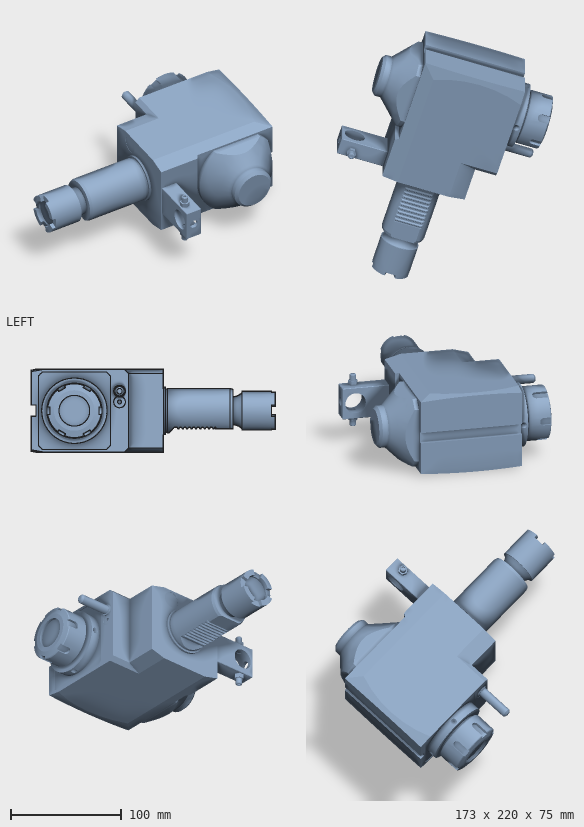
import cadquery as cq
import math


HEIGHT = 75.0
HALF_HEIGHT = HEIGHT / 2
OVERALL_LENGTH = 220.0
HOUSING_BACK = 119.0
UPPER_LEFT = -58.5
UPPER_RIGHT = 35.6
UPPER_FRONT = 31.2
UPPER_CHAMFER = 4.0
LOWER_HALF_WIDTH = 39.0
SHOULDER_BACK = 39.8
SHOULDER_BEVEL = 2.0
SHOULDER_BEVEL_RUN = 3.0
SIDE_SLOPE = math.tan(math.radians(15))
SIDE_SLOPE_START = 24.2
CROWN_X = -17.0
CROWN_RADIUS = 114.2
CROWN_REACH = 44.0
CROWN_SLOPE = math.tan(math.radians(11))
KEYWAY_WIDTH = 10.0
KEYWAY_DEPTH = 4.2
PLUG_X, PLUG_Z, PLUG_RADIUS = -15.8, 27.7, 7.7
MARK_DEPTH = 0.2

SPINDLE_Y = 80.0
PANEL_FRONT, PANEL_BACK = 47.5, 112.6
PANEL_HALF_HEIGHT = 34.8
PANEL_CORNER = 3.5
PANEL_DEPTH = 0.7
RING_RADIUS = 29.5
RING_LENGTH = 8.1
RING_HOLE_COUNT = 4
RING_HOLE_RADIUS = 2.9
RING_HOLE_DEPTH = 3.3
NECK_RADIUS = 21.1
NECK_LENGTH = 2.0
NUT_RADIUS = 24.9
NUT_BACK_CHAMFER = 0.9
NUT_FRONT_CHAMFER = 0.7
NUT_FACE_X = -91.0
NUT_FACE_RADIUS = 18.3
NUT_FACE_DROP = 1.5
NUT_BORE_RADIUS = 13.9
NUT_BORE_DEPTH = 2.6
NUT_SLOT_COUNT = 6
NUT_SLOT_WIDTH = 7.0
NUT_SLOT_LENGTH = 12.0
NUT_LONG_SLOT_LENGTH = 16.3
NUT_LONG_SLOTS = (1, 2)
NUT_SLOT_FLOOR = 22.0

PIN_Y, PIN_Z = 39.4, 17.5
PIN_RADIUS = 4.2
PIN_TIP_X = -90.9
PIN_TIP_CHAMFER = 1.8
PIN_COLLAR_RADIUS = 5.3
PIN_COLLAR_LENGTH = 1.3
PORT_Z = 8.0
PORT_RADIUS = 5.3
PORT_HOLE_RADIUS = 1.8
PORT_HOLE_DEPTH = 3.3

COVER_RADIUS = 40.0
COVER_RIM_X = 39.5
COVER_FLAT_Y = 111.5
COVER_RIM_HEIGHT = 32.5
HUB_RADIUS = 19.1
HUB_END_X = 68.6
HUB_CHAMFER = 2.6

COLLAR_RADIUS = 21.5
COLLAR_LENGTH = 2.0
RELIEF_RADIUS = 19.5
RELIEF_END = 4.0
SHANK_DIAMETER = 40.3
SHANK_RADIUS = SHANK_DIAMETER / 2
SHANK_END = 63.0
SHANK_CHAMFER_LENGTH = 2.6
SHANK_CHAMFER_DEPTH = 0.9
WAIST_RADIUS = 12.8
DRIVE_START = 70.8
WAIST_END_RADIUS = 16.3
DRIVE_RADIUS = 17.5
DRIVE_END = OVERALL_LENGTH - HOUSING_BACK
DOG_DEPTH = 3.3
DOG_BORE_DEPTH = 4.6
DOG_BORE_RADIUS = 12.3
DOG_SLOT_COUNT = 4
DOG_SLOT_ANGLE = 34.0

RACK_FLAT = 16.3
RACK_ROOT = 15.0
RACK_RUNOUT_Y = 4.8
RACK_PITCH = 4.0
RACK_FIRST_Y = 13.6
RACK_TOOTH_COUNT = 9
RACK_TOOTH_TIP = 0.9
RACK_TOOTH_BASE = 2.6

ARM_END_X = 82.0
ARM_FRONT, ARM_BACK = 0.9, 16.0
ARM_HALF_HEIGHT = 14.7
ARM_CHAMFER = 0.5
ARM_HOLE_X, ARM_HOLE_RADIUS = 70.0, 9.5
SCREW_Y = 6.2
SCREW_RADIUS = 2.9
SCREW_CHAMFER = 0.7
SCREW_TOP = 24.9
SCREW_SOCKET_DIAMETER = 3.3
SCREW_SOCKET_DEPTH = 2.2
SCREW_SEAT_RADIUS = 2.2
SCREW_SEAT_Z = 10.1
CROSS_HOLE_RADIUS = 4.0
LOCKNUT_DIAMETER = 8.8
LOCKNUT_TOP = 19.0


def box(x0, x1, y0, y1, z0, z1):
    return cq.Workplane("XY").box(x1 - x0, y1 - y0, z1 - z0, centered=False).translate((x0, y0, z0))


def x_cylinder(y, z, radius, x0, x1):
    return cq.Workplane("YZ", origin=(x0, y, z)).circle(radius).extrude(x1 - x0)


def y_cylinder(x, z, radius, y0, y1):
    return cq.Workplane("XZ", origin=(x, y1, z)).circle(radius).extrude(y1 - y0)


def slope_height(x):
    """Half height of the housing where its top and bottom fall away at the sides."""
    return HALF_HEIGHT - (abs(x) - SIDE_SLOPE_START) * SIDE_SLOPE


def symmetric_bar(top_points, y0, y1):
    """Bar along Y whose section is the given top line mirrored below Z = 0."""
    bottom_points = [(x, -z) for x, z in reversed(top_points)]
    return cq.Workplane("XZ", origin=(0, y1, 0)).polyline(top_points + bottom_points).close().extrude(y1 - y0)


def crown():
    """Disc about Z whose top and bottom slope away conically outside the crown radius."""
    rim = CROWN_RADIUS + CROWN_REACH
    rim_height = HALF_HEIGHT - CROWN_REACH * CROWN_SLOPE
    return (
        cq.Workplane("XZ", origin=(CROWN_X, 0, 0))
        .polyline([
            (0, HALF_HEIGHT), (CROWN_RADIUS, HALF_HEIGHT), (rim, rim_height),
            (rim, -rim_height), (CROWN_RADIUS, -HALF_HEIGHT), (0, -HALF_HEIGHT),
        ])
        .close()
        .revolve(360, (0, 0, 0), (0, 1, 0))
    )


def upper_housing():
    block = box(UPPER_LEFT, UPPER_RIGHT, UPPER_FRONT, HOUSING_BACK, -HALF_HEIGHT, HALF_HEIGHT)
    block = block.faces("<Y").edges("|X").chamfer(UPPER_CHAMFER)
    top_line = [
        (UPPER_LEFT, HALF_HEIGHT),
        (SIDE_SLOPE_START, HALF_HEIGHT),
        (UPPER_RIGHT, slope_height(UPPER_RIGHT)),
    ]
    block = block.intersect(symmetric_bar(top_line, UPPER_FRONT, HOUSING_BACK)).intersect(crown())
    keyway = box(
        UPPER_LEFT, UPPER_RIGHT,
        HOUSING_BACK - KEYWAY_DEPTH, HOUSING_BACK,
        -KEYWAY_WIDTH / 2, KEYWAY_WIDTH / 2,
    )
    return block.cut(keyway)


def lower_housing():
    top_line = [
        (-LOWER_HALF_WIDTH, slope_height(LOWER_HALF_WIDTH)),
        (-SIDE_SLOPE_START, HALF_HEIGHT),
        (SIDE_SLOPE_START, HALF_HEIGHT),
        (LOWER_HALF_WIDTH, slope_height(LOWER_HALF_WIDTH)),
    ]
    back = UPPER_FRONT + UPPER_CHAMFER
    block = symmetric_bar(top_line, 0, back)
    shoulder_line = [
        (SIDE_SLOPE_START, HALF_HEIGHT),
        (LOWER_HALF_WIDTH, slope_height(LOWER_HALF_WIDTH)),
    ]
    shoulder = symmetric_bar(shoulder_line, 0, SHOULDER_BACK)
    shoulder = shoulder.faces(">Y").edges(">X").chamfer(SHOULDER_BEVEL, SHOULDER_BEVEL_RUN)
    return block.union(shoulder)


def cover():
    """Conical cover with a hub, flattened at the back, the top and the bottom."""
    cone_end_x = COVER_RIM_X + COVER_RADIUS - HUB_RADIUS
    profile = [
        (0, SPINDLE_Y),
        (0, SPINDLE_Y + COVER_RADIUS),
        (COVER_RIM_X, SPINDLE_Y + COVER_RADIUS),
        (cone_end_x, SPINDLE_Y + HUB_RADIUS),
        (HUB_END_X - HUB_CHAMFER, SPINDLE_Y + HUB_RADIUS),
        (HUB_END_X, SPINDLE_Y + HUB_RADIUS - HUB_CHAMFER),
        (HUB_END_X, SPINDLE_Y),
    ]
    turned = cq.Workplane("XY").polyline(profile).close().revolve(360, (0, SPINDLE_Y, 0), (1, SPINDLE_Y, 0))
    flats_line = [
        (0, COVER_RIM_HEIGHT),
        (COVER_RIM_X, COVER_RIM_HEIGHT),
        (HUB_END_X, COVER_RIM_HEIGHT - (HUB_END_X - COVER_RIM_X) * SIDE_SLOPE),
    ]
    return turned.intersect(symmetric_bar(flats_line, SPINDLE_Y - COVER_RADIUS, COVER_FLAT_Y))


def panel_recess():
    middle_y = (PANEL_FRONT + PANEL_BACK) / 2
    return (
        cq.Workplane("YZ", origin=(UPPER_LEFT, middle_y, 0))
        .rect(PANEL_BACK - PANEL_FRONT, 2 * PANEL_HALF_HEIGHT)
        .extrude(PANEL_DEPTH)
        .edges("|X")
        .chamfer(PANEL_CORNER)
    )


def around_spindle(shape, angle):
    return shape.rotate((0, SPINDLE_Y, 0), (1, SPINDLE_Y, 0), angle)


def nut_slot(length):
    """Flat-floored, round-ended slot on the +Y side of the nut, running in from its face."""
    center_x = NUT_FACE_X + length - NUT_SLOT_WIDTH / 2
    floor = SPINDLE_Y + NUT_SLOT_FLOOR
    top = SPINDLE_Y + NUT_RADIUS
    straight = box(NUT_FACE_X, center_x, floor, top, -NUT_SLOT_WIDTH / 2, NUT_SLOT_WIDTH / 2)
    return straight.union(y_cylinder(center_x, 0, NUT_SLOT_WIDTH / 2, floor, top))


def spindle():
    """Clamping ring, neck and slotted collet nut."""
    ring_x = UPPER_LEFT - RING_LENGTH
    neck_x = ring_x - NECK_LENGTH
    rim_x = NUT_FACE_X + NUT_FACE_DROP
    ring = x_cylinder(SPINDLE_Y, 0, RING_RADIUS, ring_x, UPPER_LEFT + PANEL_DEPTH)
    hole_mouth = cq.Vector((ring_x + UPPER_LEFT) / 2, SPINDLE_Y + RING_RADIUS, 0)
    for index in range(RING_HOLE_COUNT):
        hole = cq.Workplane(
            cq.Solid.makeCone(RING_HOLE_RADIUS, 0, RING_HOLE_DEPTH, hole_mouth, cq.Vector(0, -1, 0))
        )
        ring = ring.cut(around_spindle(hole, index * 360 / RING_HOLE_COUNT))
    neck = x_cylinder(SPINDLE_Y, 0, NECK_RADIUS, neck_x, ring_x)

    profile = [
        (NUT_FACE_X + NUT_BORE_DEPTH, SPINDLE_Y),
        (NUT_FACE_X + NUT_BORE_DEPTH, SPINDLE_Y + NUT_BORE_RADIUS),
        (NUT_FACE_X, SPINDLE_Y + NUT_BORE_RADIUS),
        (NUT_FACE_X, SPINDLE_Y + NUT_FACE_RADIUS),
        (rim_x, SPINDLE_Y + NUT_RADIUS - NUT_FRONT_CHAMFER),
        (rim_x + NUT_FRONT_CHAMFER, SPINDLE_Y + NUT_RADIUS),
        (neck_x - NUT_BACK_CHAMFER, SPINDLE_Y + NUT_RADIUS),
        (neck_x, SPINDLE_Y + NUT_RADIUS - NUT_BACK_CHAMFER),
        (neck_x, SPINDLE_Y),
    ]
    nut = cq.Workplane("XY").polyline(profile).close().revolve(360, (0, SPINDLE_Y, 0), (1, SPINDLE_Y, 0))
    for index in range(NUT_SLOT_COUNT):
        length = NUT_LONG_SLOT_LENGTH if index in NUT_LONG_SLOTS else NUT_SLOT_LENGTH
        nut = nut.cut(around_spindle(nut_slot(length), index * 360 / NUT_SLOT_COUNT))
    return ring.union(neck).union(nut)


def pin():
    rod = x_cylinder(PIN_Y, PIN_Z, PIN_RADIUS, PIN_TIP_X, UPPER_LEFT)
    rod = rod.faces("<X").chamfer(PIN_TIP_CHAMFER)
    return rod.union(x_cylinder(PIN_Y, PIN_Z, PIN_COLLAR_RADIUS, UPPER_LEFT - PIN_COLLAR_LENGTH, UPPER_LEFT))


def port():
    seat = x_cylinder(PIN_Y, PORT_Z, PORT_RADIUS, UPPER_LEFT, UPPER_LEFT + MARK_DEPTH)
    return seat.union(x_cylinder(PIN_Y, PORT_Z, PORT_HOLE_RADIUS, UPPER_LEFT, UPPER_LEFT + PORT_HOLE_DEPTH))


def shank():
    """Turned shank with a waist and a drive end, revolved about Y."""
    shank_tip_radius = SHANK_RADIUS - SHANK_CHAMFER_DEPTH
    bore_floor = DRIVE_END - DOG_BORE_DEPTH
    flare_length = DRIVE_START - SHANK_END
    flare_rise = WAIST_END_RADIUS - WAIST_RADIUS
    flare_radius = (flare_length ** 2 + flare_rise ** 2) / (2 * flare_rise)
    half_angle = math.asin(flare_length / flare_radius) / 2
    flare_middle = (
        WAIST_RADIUS + flare_radius * (1 - math.cos(half_angle)),
        -SHANK_END - flare_radius * math.sin(half_angle),
    )
    return (
        cq.Workplane("XY")
        .moveTo(0, 0)
        .lineTo(COLLAR_RADIUS, 0)
        .lineTo(COLLAR_RADIUS, -COLLAR_LENGTH)
        .lineTo(RELIEF_RADIUS, -COLLAR_LENGTH)
        .lineTo(RELIEF_RADIUS, -RELIEF_END)
        .lineTo(SHANK_RADIUS, -RELIEF_END)
        .lineTo(SHANK_RADIUS, -SHANK_END + SHANK_CHAMFER_LENGTH)
        .lineTo(shank_tip_radius, -SHANK_END)
        .lineTo(WAIST_RADIUS, -SHANK_END)
        .threePointArc(flare_middle, (WAIST_END_RADIUS, -DRIVE_START))
        .lineTo(DRIVE_RADIUS, -DRIVE_START)
        .lineTo(DRIVE_RADIUS, -DRIVE_END)
        .lineTo(DOG_BORE_RADIUS, -DRIVE_END)
        .lineTo(DOG_BORE_RADIUS, -bore_floor)
        .lineTo(0, -bore_floor)
        .close()
        .revolve(360, (0, 0, 0), (0, 1, 0))
    )


def dog_slots():
    """Radial-sided slots that split the rim of the drive end into dogs."""
    half_width = DRIVE_RADIUS * math.tan(math.radians(DOG_SLOT_ANGLE / 2))
    wedge = (
        cq.Workplane("XZ", origin=(0, -DRIVE_END + DOG_DEPTH, 0))
        .polyline([(0, 0), (DRIVE_RADIUS, half_width), (DRIVE_RADIUS, -half_width)])
        .close()
        .extrude(DOG_DEPTH)
    )
    slots = cq.Workplane("XY")
    for index in range(DOG_SLOT_COUNT):
        slots = slots.union(wedge.rotate((0, 0, 0), (0, 1, 0), index * 360 / DOG_SLOT_COUNT))
    return slots


def rack():
    """Flat under the shank with a sloped run-out and teeth across it, as a cutter."""
    runout = SHANK_RADIUS - RACK_ROOT
    points = [
        (-RACK_RUNOUT_Y, -SHANK_RADIUS),
        (-RACK_RUNOUT_Y - runout, -RACK_ROOT),
    ]
    for index in range(RACK_TOOTH_COUNT):
        tooth_y = -RACK_FIRST_Y - index * RACK_PITCH
        points += [
            (tooth_y + RACK_TOOTH_BASE / 2, -RACK_ROOT),
            (tooth_y + RACK_TOOTH_TIP / 2, -RACK_FLAT),
            (tooth_y - RACK_TOOTH_TIP / 2, -RACK_FLAT),
            (tooth_y - RACK_TOOTH_BASE / 2, -RACK_ROOT),
        ]
    last_root_y = -RACK_FIRST_Y - (RACK_TOOTH_COUNT - 0.5) * RACK_PITCH
    points += [
        (last_root_y, -RACK_ROOT),
        (last_root_y, -RACK_FLAT),
        (-SHANK_END, -RACK_FLAT),
        (-SHANK_END, -SHANK_RADIUS),
    ]
    return (
        cq.Workplane("YZ", origin=(-SHANK_RADIUS, 0, 0))
        .polyline(points)
        .close()
        .extrude(2 * SHANK_RADIUS)
    )


def screw():
    """Upper clamping screw: locknut and socketed stud standing on the arm."""
    base = cq.Workplane("XY", origin=(ARM_HOLE_X, SCREW_Y, ARM_HALF_HEIGHT))
    stud = base.circle(SCREW_RADIUS).extrude(SCREW_TOP - ARM_HALF_HEIGHT).faces(">Z").chamfer(SCREW_CHAMFER)
    socket = (
        cq.Workplane("XY", origin=(ARM_HOLE_X, SCREW_Y, SCREW_TOP))
        .polygon(6, SCREW_SOCKET_DIAMETER)
        .extrude(-SCREW_SOCKET_DEPTH)
    )
    locknut = base.polygon(6, LOCKNUT_DIAMETER).extrude(LOCKNUT_TOP - ARM_HALF_HEIGHT)
    return locknut.union(stud).cut(socket)


def arm():
    """Clamping arm with its main hole, a cross hole out of the end and two opposed screws."""
    bar = box(0, ARM_END_X, ARM_FRONT, ARM_BACK, -ARM_HALF_HEIGHT, ARM_HALF_HEIGHT)
    bar = bar.faces("<Y or >Y or >X").edges().chamfer(ARM_CHAMFER)
    bar = bar.cut(y_cylinder(ARM_HOLE_X, 0, ARM_HOLE_RADIUS, ARM_FRONT, ARM_BACK))
    middle_y = (ARM_FRONT + ARM_BACK) / 2
    bar = bar.cut(x_cylinder(middle_y, 0, CROSS_HOLE_RADIUS, ARM_HOLE_X, ARM_END_X))
    seats = cq.Workplane("XY", origin=(ARM_HOLE_X, SCREW_Y, -SCREW_SEAT_Z))
    bar = bar.cut(seats.circle(SCREW_SEAT_RADIUS).extrude(2 * SCREW_SEAT_Z))
    return bar.union(screw()).union(screw().mirror("XY"))


housing = upper_housing().union(lower_housing()).union(cover())
housing = housing.cut(panel_recess()).cut(port())
housing = housing.cut(y_cylinder(PLUG_X, PLUG_Z, PLUG_RADIUS, 0, MARK_DEPTH))

result = (
    housing
    .union(spindle())
    .union(pin())
    .union(shank().cut(dog_slots()).cut(rack()))
    .union(arm())
)